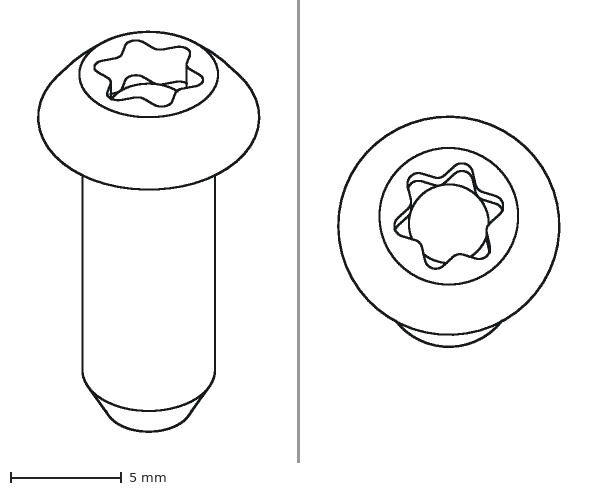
import cadquery as cq
import math

total_length = 19.0
head_height = 3.0
tip_height = 2.0
underside_z = total_length - head_height

shank_radius = 3.0
tip_radius = 1.98
head_radius = 5.0
neck_fillet = 0.25
neck_middle_angle = 135.0
rim_round = 0.5

top_flat_radius = 2.85
top_border_radius = 3.14
top_border_drop = 0.05

dome_start_angle = 32.0

lobe_count = 6
lobe_tip_distance = 2.5
lobe_round = 0.5
valley_distance = 1.8
socket_depth = 2.0
drill_point_angle = 118.0


def polar(radius, angle):
    return (radius * math.cos(angle), radius * math.sin(angle))


def offset(center, radius, angle):
    dx, dy = polar(radius, angle)
    return (center[0] + dx, center[1] + dy)


def make_body():
    """Revolve the half profile of head, shank and tapered tip."""
    start_angle = math.radians(dome_start_angle)
    rim_center = (head_radius - rim_round, underside_z + rim_round)
    dome_start = offset(rim_center, rim_round, start_angle)
    rim_middle = offset(rim_center, rim_round, (start_angle - math.pi / 2) / 2)
    neck_center = (shank_radius + neck_fillet, underside_z - neck_fillet)
    neck_middle = offset(neck_center, neck_fillet, math.radians(neck_middle_angle))
    profile = (
        cq.Workplane("XZ")
        .lineTo(tip_radius, 0)
        .lineTo(shank_radius, tip_height)
        .lineTo(shank_radius, neck_center[1])
        .threePointArc(neck_middle, (neck_center[0], underside_z))
        .lineTo(rim_center[0], underside_z)
        .threePointArc(rim_middle, dome_start)
        .tangentArcPoint(
            (top_border_radius, total_length - top_border_drop), relative=False
        )
        .lineTo(top_flat_radius, total_length)
        .lineTo(0, total_length)
        .close()
    )
    return profile.revolve(360, (0, 0, 0), (0, 1, 0))


def make_socket():
    """Lobes and valleys are arcs joined by straight tangent flanks."""
    half_pitch = math.pi / lobe_count
    lobe_center_distance = lobe_tip_distance - lobe_round
    flank_distance = lobe_center_distance * math.sin(half_pitch) + lobe_round
    valley_round = (valley_distance * math.cos(half_pitch) - flank_distance) / (
        1 - math.cos(half_pitch)
    )
    valley_center_distance = valley_distance + valley_round

    flank_turn = math.pi / 2 - half_pitch
    first_lobe = math.pi / 2
    outline = None
    for index in range(lobe_count):
        lobe = first_lobe + 2 * index * half_pitch
        valley = lobe + half_pitch
        lobe_center = polar(lobe_center_distance, lobe)
        valley_center = polar(valley_center_distance, valley)
        flank_normal = lobe + flank_turn
        next_flank_normal = valley + half_pitch - flank_turn
        lobe_start = offset(lobe_center, lobe_round, lobe - flank_turn)
        lobe_end = offset(lobe_center, lobe_round, flank_normal)
        valley_start = offset(valley_center, -valley_round, flank_normal)
        valley_end = offset(valley_center, -valley_round, next_flank_normal)
        if outline is None:
            outline = cq.Workplane("XY", origin=(0, 0, total_length)).moveTo(*lobe_start)
        else:
            outline = outline.lineTo(*lobe_start)
        outline = outline.threePointArc(polar(lobe_tip_distance, lobe), lobe_end)
        outline = outline.lineTo(*valley_start)
        outline = outline.threePointArc(polar(valley_distance, valley), valley_end)
    return outline.close().extrude(-socket_depth)


def make_drill_point():
    """Cone below the socket floor, as wide as the circle through the valleys."""
    floor_z = total_length - socket_depth
    point_depth = valley_distance / math.tan(math.radians(drill_point_angle / 2))
    return (
        cq.Workplane("XZ")
        .moveTo(0, floor_z)
        .lineTo(valley_distance, floor_z)
        .lineTo(0, floor_z - point_depth)
        .close()
        .revolve(360, (0, 0, 0), (0, 1, 0))
    )


result = make_body().cut(make_socket()).cut(make_drill_point())